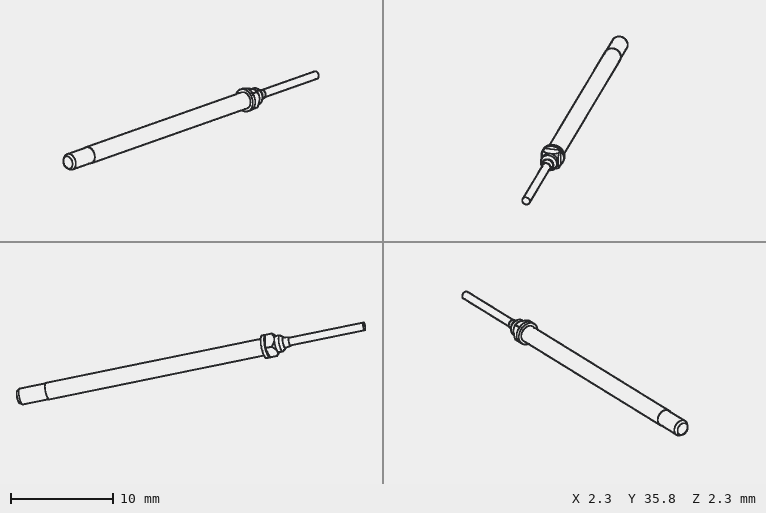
import cadquery as cq
import math

total_length = 35.8
pin_length = 7.7
tip_length = 3.0
tip_chamfer_length = 0.3
tip_chamfer_depth = 0.18

barrel_radius = 1.7 / 2
tip_radius = 1.6 / 2
collar_radius = 2.3 / 2
pin_radius = 0.8 / 2

collar_thickness = 0.35
collar_back_to_pin_end = 10.0
collar_back = total_length - collar_back_to_pin_end
collar_front = collar_back - collar_thickness

square_side = 1.65
square_length = 0.95
square_back = collar_back + square_length
corner_cone_angle = 40.0

neck_radius = square_side / 2
shoulder_radius = 0.57
step_radius = 0.5
taper_end_radius = 0.43
taper_length = 0.32
step_length = 0.25
shoulder_length = 0.32
pin_root = total_length - pin_length
taper_front = pin_root - taper_length
step_front = taper_front - step_length
shoulder_front = step_front - shoulder_length


def make_turned_body():
    """Tip, barrel, collar, neck and pin turned about the Y axis."""
    corner_cone_length = (collar_radius - neck_radius) * math.tan(math.radians(corner_cone_angle))
    half_outline = [
        (0, 0),
        (tip_radius - tip_chamfer_depth, 0),
        (tip_radius, tip_chamfer_length),
        (tip_radius, tip_length),
        (barrel_radius, tip_length),
        (barrel_radius, collar_front),
        (collar_radius, collar_front),
        (collar_radius, square_back - corner_cone_length),
        (neck_radius, square_back),
        (neck_radius, shoulder_front),
        (shoulder_radius, step_front),
        (step_radius, step_front),
        (step_radius, taper_front),
        (taper_end_radius, pin_root),
        (pin_radius, pin_root),
        (pin_radius, total_length),
        (0, total_length),
    ]
    return cq.Workplane("XY").polyline(half_outline).close().revolve(360, (0, 0, 0), (0, 1, 0))


def make_flats_cutter():
    """Square frame that removes everything outside the four flats behind the collar."""
    frame_side = 4 * collar_radius
    return (
        cq.Workplane("XZ", origin=(0, collar_back, 0))
        .rect(frame_side, frame_side)
        .rect(square_side, square_side)
        .extrude(-square_length)
    )


result = make_turned_body().cut(make_flats_cutter())